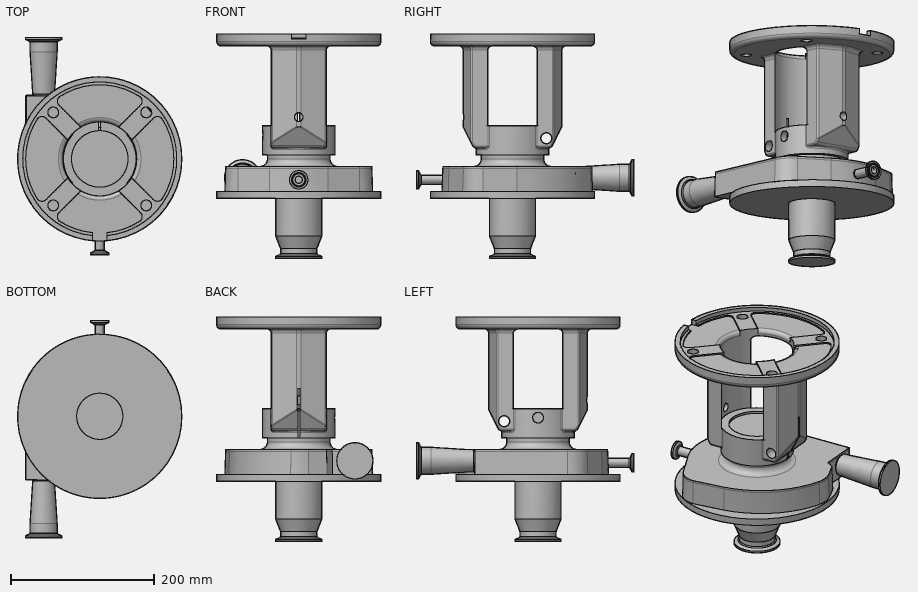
import cadquery as cq
import math

FLANGE_R = 115.0
TOP_Z = 314.0

FLANGE_BOTTOM_Z = TOP_Z - 17.0
FLANGE_EDGE_FILLET = 6.0
SPIGOT_R = 107.7
SPIGOT_DEPTH = 5.5
POCKET_R = 103.5
POCKET_FLOOR_Z = TOP_Z - 7.5
POCKET_CORNER_R = 8.0
RIB_WIDTH = 25.7
BORE_R = 51.8
BORE_ROUND = 6.0
BOLT_CIRCLE_R = 92.0
BOLT_HOLE_D = 15.0
NOTCH_WIDTH = 19.8
NOTCH_INNER_R = 94.2

LEG_HALF_WIDTH = 38.5
LEG_OUTER_Y = 69.0
LEG_CORNER_Y = 57.8
LEG_RIDGE_HALF_WIDTH = 2.8
LEG_INNER_Y = 28.3
LEG_BOTTOM_Z = 154.5
BEVEL_TOP_Z = 184.0
BEVEL_BOTTOM_Y = 54.3
BEVEL_FILLET = 6.3
LEG_EDGE_FILLET = 2.5
LEG_ROOT_FILLET = 6.0
FOOT_FILLET = 2.5
PIN_HOLE_D = 12.0
PIN_HOLE_Z = 197.5
SCREW_HOLE_D = 15.0
SCREW_HOLE_Y = 47.5
SCREW_HOLE_Z = 168.0
SLIT_WIDTH = 2.8
SLIT_TOP_Z = 213.5

SELECT_MARGIN = 0.3

HUB_R = 51.0
HUB_TOP_Z = 185.5
HUB_BOTTOM_Z = 144.8
HUB_BORE_R = 39.5
HUB_BORE_DEPTH = 3.0
HUB_HOLE_D = 15.0
HUB_HOLE_Z = 173.0
NECK_R = 44.0
NECK_FLARE = 10.0

CASING_TOP_Z = 128.7
CASING_RIM = 2.8
CASING_DRAFT = 2.0
CASING_FRONT_R = 97.5
CASING_SIDE_X = 102.5
CASING_CORNER_R = 30.0
CASING_SLOPE = 24.6
CASING_FACE_Y = 88.0
SCROLL_START = (96.7, 6.3)
SCROLL_MIDDLE = (69.0, 69.0)
CREST_START = (11.0, 109.3)
CREST_MIDDLE = (-1.3, 111.0)
CREST_END = (-13.5, 109.3)
STEP_TOP = (-39.0, 99.2)
STEP_BOTTOM_X = -46.8
PLATE_TOP_Z = 93.5
PLATE_BOTTOM_Z = 83.8

FERRULE_RIM = 2.8
FERRULE_BACK_HEIGHT = 6.5
FERRULE_ROOT = 1.5

INLET_R = 32.3
INLET_NECK_R = 25.5
INLET_FERRULE_R = INLET_R
INLET_CONE_TOP_Z = 31.0
INLET_CONE_BOTTOM_Z = 13.5

OUTLET_X = -78.5
OUTLET_Z = 112.7
OUTLET_END_Y = 170.0
OUTLET_FERRULE_R = 25.5
OUTLET_R = 19.0
OUTLET_ROOT_R = 15.5
OUTLET_WELD_R = 13.0
OUTLET_WELD_LENGTH = 2.5
OUTLET_STRAIGHT = 20.0

PORT_Z = 110.0
PORT_END_Y = -134.0
PORT_FERRULE_R = 13.0
PORT_R = 6.5
PORT_BORE_R = 5.0
PORT_GROOVE_R = 8.5
PORT_GROOVE_WIDTH = 1.5
PORT_GROOVE_DEPTH = 1.0


def cylinder(radius, bottom_z, top_z):
    return cq.Workplane("XY").workplane(offset=bottom_z).circle(radius).extrude(top_z - bottom_z)


def rod_x(radius, y, z, x_start, x_end):
    return cq.Workplane("YZ", origin=(x_start, 0, 0)).center(y, z).circle(radius).extrude(x_end - x_start)


def rod_y(radius, z, y_start, y_end):
    return cq.Workplane("XZ", origin=(0, y_start, 0)).center(0, z).circle(radius).extrude(y_start - y_end)


def turned(profile):
    """Solid of revolution about Z from (radius, height) points that start and end on the axis."""
    return cq.Workplane("XZ").polyline(profile).close().revolve(360, (0, 0), (0, 1))


def ferrule(rim_r, tube_r):
    """Profile of a clamp ferrule with its end face at height 0, up to where it meets the tube."""
    return [
        (0, 0),
        (rim_r, 0),
        (rim_r, FERRULE_RIM),
        (tube_r + FERRULE_ROOT, FERRULE_BACK_HEIGHT - FERRULE_ROOT),
        (tube_r, FERRULE_BACK_HEIGHT),
    ]


def make_flange():
    flange = cylinder(FLANGE_R, FLANGE_BOTTOM_Z, TOP_Z).faces("<Z").edges().fillet(FLANGE_EDGE_FILLET)
    return flange.cut(cylinder(SPIGOT_R, TOP_Z - SPIGOT_DEPTH, TOP_Z))


def make_leg():
    """One leg on the -Y side: a ridged prism whose lower end is bevelled off."""
    length = FLANGE_BOTTOM_Z - LEG_BOTTOM_Z
    prism = (
        cq.Workplane("XY", origin=(0, 0, LEG_BOTTOM_Z))
        .polyline([
            (-LEG_HALF_WIDTH, -LEG_INNER_Y),
            (-LEG_HALF_WIDTH, -LEG_CORNER_Y),
            (-LEG_RIDGE_HALF_WIDTH, -LEG_OUTER_Y),
            (LEG_RIDGE_HALF_WIDTH, -LEG_OUTER_Y),
            (LEG_HALF_WIDTH, -LEG_CORNER_Y),
            (LEG_HALF_WIDTH, -LEG_INNER_Y),
        ])
        .close()
        .extrude(length)
    )
    side = (
        cq.Workplane("YZ", origin=(-LEG_HALF_WIDTH, 0, 0))
        .polyline([
            (-LEG_INNER_Y, LEG_BOTTOM_Z),
            (-BEVEL_BOTTOM_Y, LEG_BOTTOM_Z),
            (-LEG_OUTER_Y, BEVEL_TOP_Z),
            (-LEG_OUTER_Y, LEG_BOTTOM_Z + length),
            (-LEG_INNER_Y, LEG_BOTTOM_Z + length),
        ])
        .close()
        .extrude(2 * LEG_HALF_WIDTH)
    )
    lower_edge = cq.selectors.NearestToPointSelector((0, -BEVEL_BOTTOM_Y, LEG_BOTTOM_Z))
    side = side.edges(lower_edge).fillet(BEVEL_FILLET)
    leg = prism.intersect(side)
    for end in (-1, 1):
        corner = cq.selectors.NearestToPointSelector(
            (end * LEG_HALF_WIDTH, -LEG_CORNER_Y, LEG_BOTTOM_Z + length / 2)
        )
        leg = leg.edges(corner).fillet(LEG_EDGE_FILLET)
    return leg


def cross_ribs(bottom_z, top_z):
    """Two crossing diagonal bars that keep the ribs of the flange."""
    bar = cq.Workplane("XY", origin=(0, 0, bottom_z)).rect(2 * FLANGE_R, RIB_WIDTH).extrude(top_z - bottom_z)
    return bar.rotate((0, 0, 0), (0, 0, 1), 45).union(bar.rotate((0, 0, 0), (0, 0, 1), 135))


def make_pockets():
    """Cutter for the four flange pockets between the ribs, with rounded outer corners."""
    pockets = cylinder(POCKET_R, POCKET_FLOOR_Z, TOP_Z).cut(cross_ribs(POCKET_FLOOR_Z, TOP_Z))
    upright = cq.selectors.StringSyntaxSelector("|Z")
    inner = cq.selectors.BoxSelector((-BORE_R, -BORE_R, POCKET_FLOOR_Z), (BORE_R, BORE_R, TOP_Z))
    return pockets.edges(cq.selectors.SubtractSelector(upright, inner)).fillet(POCKET_CORNER_R)


def make_bore_rounding():
    """Cutter that rounds the bore into the pocket floors and leaves the ribs square."""
    bottom_z = POCKET_FLOOR_Z - BORE_ROUND
    outer_r = BORE_R + BORE_ROUND
    flare = cylinder(outer_r, bottom_z, POCKET_FLOOR_Z)
    ring = (
        cq.Workplane("XZ")
        .center(outer_r, bottom_z)
        .circle(BORE_ROUND)
        .revolve(360, (-outer_r, 0), (-outer_r, 1))
    )
    return flare.cut(ring).cut(cross_ribs(bottom_z, POCKET_FLOOR_Z))


def make_notch():
    """Cutter for the notch through the flange rim on the -Y side."""
    length = FLANGE_R - NOTCH_INNER_R
    return (
        cq.Workplane("XY", origin=(0, -NOTCH_INNER_R - length / 2, POCKET_FLOOR_Z))
        .rect(NOTCH_WIDTH, length)
        .extrude(TOP_Z - POCKET_FLOOR_Z)
    )


def make_slit():
    """Cutter for the clamping slit through the hub and the lower part of the back leg."""
    length = FLANGE_R - HUB_BORE_R
    return (
        cq.Workplane("XY", origin=(0, HUB_BORE_R + length / 2, HUB_BOTTOM_Z))
        .rect(SLIT_WIDTH, length)
        .extrude(SLIT_TOP_Z - HUB_BOTTOM_Z)
    )


def leg_edges(half_y, bottom_z, top_z):
    """Selector for the edges around both legs between two heights, up to half_y from the axis."""
    half_x = LEG_HALF_WIDTH + SELECT_MARGIN
    return cq.selectors.BoxSelector((-half_x, -half_y, bottom_z), (half_x, half_y, top_z))


def casing_outline(plane):
    """Casing outline at its top: rounded front, sloped corners, scroll at the back, outlet face."""
    slope = math.radians(CASING_SLOPE)
    front = (CASING_FRONT_R * math.sin(slope), -CASING_FRONT_R * math.cos(slope))
    corner_in_x = CASING_SIDE_X - CASING_CORNER_R * (1 - math.sin(slope))
    corner_in = (corner_in_x, front[1] + (corner_in_x - front[0]) * math.tan(slope))
    corner_y = corner_in[1] + CASING_CORNER_R * math.cos(slope)
    bend = (math.sin((math.pi / 2 + slope) / 2), math.cos((math.pi / 2 + slope) / 2))
    corner_mid = (
        CASING_SIDE_X - CASING_CORNER_R * (1 - bend[0]),
        corner_y - CASING_CORNER_R * bend[1],
    )

    def mirrored(point):
        return (-point[0], point[1])

    return (
        plane.moveTo(-CASING_SIDE_X, CASING_FACE_Y)
        .lineTo(-CASING_SIDE_X, corner_y)
        .threePointArc(mirrored(corner_mid), mirrored(corner_in))
        .lineTo(*mirrored(front))
        .threePointArc((0, -CASING_FRONT_R), front)
        .lineTo(*corner_in)
        .threePointArc(corner_mid, (CASING_SIDE_X, corner_y))
        .lineTo(*SCROLL_START)
        .threePointArc(SCROLL_MIDDLE, CREST_START)
        .threePointArc(CREST_MIDDLE, CREST_END)
        .lineTo(*STEP_TOP)
        .lineTo(STEP_BOTTOM_X, CASING_FACE_Y)
        .close()
    )


def make_casing():
    rim_z = CASING_TOP_Z - CASING_RIM
    rim = casing_outline(cq.Workplane("XY", origin=(0, 0, rim_z))).extrude(CASING_RIM)
    wall = casing_outline(cq.Workplane("XY", origin=(0, 0, rim_z)))
    wall = wall.extrude(PLATE_TOP_Z - rim_z, taper=-CASING_DRAFT)
    plate = cylinder(FLANGE_R, PLATE_BOTTOM_Z, PLATE_TOP_Z)
    return rim.union(wall).union(plate)


def make_neck():
    flare_top_z = CASING_TOP_Z + NECK_FLARE
    flare_r = NECK_R + NECK_FLARE
    diagonal = NECK_FLARE * math.sqrt(0.5)
    return (
        cq.Workplane("XZ")
        .moveTo(0, PLATE_TOP_Z)
        .lineTo(NECK_R, PLATE_TOP_Z)
        .lineTo(flare_r, CASING_TOP_Z)
        .threePointArc((flare_r - diagonal, flare_top_z - diagonal), (NECK_R, flare_top_z))
        .lineTo(NECK_R, HUB_BOTTOM_Z)
        .lineTo(0, HUB_BOTTOM_Z)
        .close()
        .revolve(360, (0, 0), (0, 1))
    )


def make_inlet():
    return turned(
        ferrule(INLET_FERRULE_R, INLET_NECK_R)
        + [
            (INLET_NECK_R, INLET_CONE_BOTTOM_Z),
            (INLET_R, INLET_CONE_TOP_Z),
            (INLET_R, PLATE_TOP_Z),
            (0, PLATE_TOP_Z),
        ]
    )


def make_outlet():
    length = OUTLET_END_Y - CASING_FACE_Y
    outlet = turned(
        ferrule(OUTLET_FERRULE_R, OUTLET_R)
        + [
            (OUTLET_R, OUTLET_STRAIGHT),
            (OUTLET_ROOT_R, length - OUTLET_WELD_LENGTH),
            (OUTLET_WELD_R, length),
            (0, length),
        ]
    )
    return outlet.rotate((0, 0, 0), (1, 0, 0), 90).translate((OUTLET_X, OUTLET_END_Y, OUTLET_Z))


def make_port():
    length = -CASING_FRONT_R - PORT_END_Y
    port = turned(ferrule(PORT_FERRULE_R, PORT_R) + [(PORT_R, length + PORT_R), (0, length + PORT_R)])
    groove = cylinder(PORT_GROOVE_R + PORT_GROOVE_WIDTH, 0, PORT_GROOVE_DEPTH)
    port = port.cut(groove.cut(cylinder(PORT_GROOVE_R, 0, PORT_GROOVE_DEPTH)))
    port = port.cut(cylinder(PORT_BORE_R, 0, length))
    return port.rotate((0, 0, 0), (1, 0, 0), -90).translate((0, PORT_END_Y, PORT_Z))


leg = make_leg()
part = make_flange().union(leg).union(leg.mirror("XZ"))
roots = leg_edges(
    LEG_OUTER_Y + SELECT_MARGIN, FLANGE_BOTTOM_Z - SELECT_MARGIN, FLANGE_BOTTOM_Z + SELECT_MARGIN
)
part = part.edges(roots).fillet(LEG_ROOT_FILLET)
part = part.cut(cylinder(BORE_R, HUB_TOP_Z, TOP_Z))
part = part.union(cylinder(HUB_R, HUB_BOTTOM_Z, HUB_TOP_Z))
feet = leg_edges(HUB_R, LEG_BOTTOM_Z - SELECT_MARGIN, HUB_TOP_Z - SELECT_MARGIN)
part = part.edges(feet).fillet(FOOT_FILLET)

part = part.cut(make_pockets()).cut(make_bore_rounding()).cut(make_notch())
bolt_hole = cylinder(BOLT_HOLE_D / 2, FLANGE_BOTTOM_Z, TOP_Z).translate((BOLT_CIRCLE_R, 0, 0))
for angle in (45, 135, 225, 315):
    part = part.cut(bolt_hole.rotate((0, 0, 0), (0, 0, 1), angle))

for piece in (make_casing(), make_neck(), make_inlet(), make_outlet(), make_port()):
    part = part.union(piece)

part = part.cut(cylinder(HUB_BORE_R, HUB_TOP_Z - HUB_BORE_DEPTH, HUB_TOP_Z))
part = part.cut(rod_x(HUB_HOLE_D / 2, 0, HUB_HOLE_Z, -HUB_R, -HUB_BORE_R))

part = part.cut(rod_y(PIN_HOLE_D / 2, PIN_HOLE_Z, -LEG_OUTER_Y, 0))
part = part.cut(rod_x(SCREW_HOLE_D / 2, SCREW_HOLE_Y, SCREW_HOLE_Z, -LEG_HALF_WIDTH, LEG_HALF_WIDTH))
result = part.cut(make_slit())